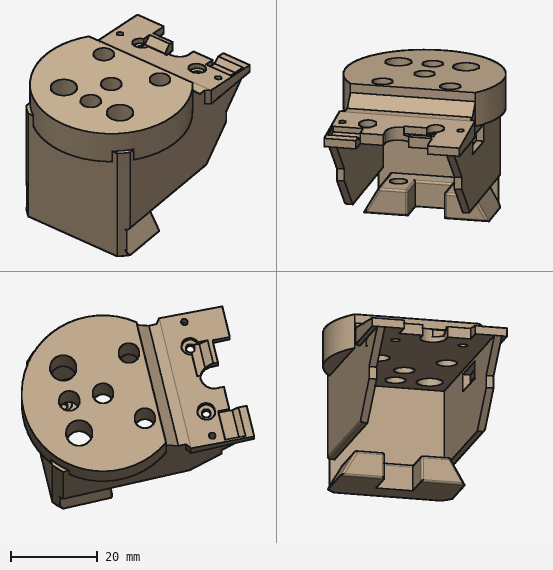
import cadquery as cq
import math


head_radius = 18.7
head_height = 8.1
head_hole_radius = 2.4
access_hole_radius = 3.05
hole_offset_x = 8.0
front_hole_y = -7.95
screw_y = -7.5

body_half_width = 14.8
body_bottom_z = -27.5
body_fillet = 0.6
shoulder_z = -5.05
wall = 1.75
front_wall = 1.45
front_y = -14.95
corner_radius = 19.6
head_flat_y = math.sqrt(head_radius**2 - body_half_width**2)
ramp_foot_y = 14.35
ramp_top_z = shoulder_z + ramp_foot_y - head_flat_y
back_lower_y = 16.45
back_step_y = 24.55
back_step_top_z = -16.5
back_step_bottom_z = body_bottom_z + back_step_y - back_lower_y

window_front_y = 3.5
window_rear_y = 14.05
window_bottom_z = -14.1
window_top_z = -10.0

plate_half_width = 16.0
plate_rear_y = 32.0
plate_front_y = 17.0
plate_neck_y = 16.1
plate_bottom_z = -9.0
plate_rear_top_z = -7.05
plate_slope = math.atan2(shoulder_z - plate_rear_top_z, plate_rear_y - plate_front_y)
notch_half_width = 8.45
notch_y = 27.9
throat_radius = 3.0
throat_centre_y = 26.05

outer_pocket_end_x = 15.5
outer_pocket_rear_y = 30.0
outer_pocket_front_y = 25.25
outer_pocket_depth = 1.3
inner_pocket_start_x = -8.65
inner_pocket_end_x = -0.65
inner_pocket_rear_y = 26.75
inner_pocket_front_y = 22.45
inner_pocket_depth = 1.75

plate_hole_y = 22.5
screw_radius = 1.0
screw_head_radius = 2.05
plate_head_seat_z = -7.35
pin_x = 14.0
pin_radius = 0.75
pin_depth = 4.95

bottom_z = -35.0
neck_half_width = 14.3
foot_top_z = -28.75
foot_rear_y = -1.15
foot_angle = 30.0
foot_slot_half_width = 4.35
foot_slot_y = -8.9
foot_fillet = 0.5
foot_head_seat_depth = 2.05
foot_screw_depth = 4.05

cut_margin = 2.55


def block(x0, x1, y0, y1, z0, z1):
    """Box between two opposite corners."""
    return cq.Workplane("XY").box(x1 - x0, y1 - y0, z1 - z0, centered=False).translate((x0, y0, z0))


def rod(x, y, radius, z0, z1):
    """Vertical cylinder from z0 up to z1."""
    return cq.Workplane("XY").workplane(offset=z0).center(x, y).circle(radius).extrude(z1 - z0)


def side_prism(points, x0, x1):
    """Closed outline of (y, z) points, extruded along X."""
    return cq.Workplane("YZ").workplane(offset=x0).polyline(points).close().extrude(x1 - x0)


def plate_top_z(y):
    """Height of the sloping plate top."""
    return plate_rear_top_z + (plate_rear_y - y) * math.tan(plate_slope)


def on_slope(y, along, depth):
    """Point (y, z) measured from the plate top at y: forward along the slope, then down square to it."""
    cos_slope = math.cos(plate_slope)
    sin_slope = math.sin(plate_slope)
    return (
        y - along * cos_slope - depth * sin_slope,
        plate_top_z(y) + along * sin_slope - depth * cos_slope,
    )


def make_head():
    head = rod(0, 0, head_radius, -head_height, 0)
    rear_cut = block(
        -head_radius, head_radius, head_flat_y, head_radius + cut_margin, -head_height, 0
    )
    return head.cut(rear_cut)


def make_body():
    outline = [
        (front_y, body_bottom_z),
        (front_y, shoulder_z),
        (head_flat_y, shoulder_z),
        (head_flat_y, ramp_top_z),
        (ramp_foot_y, shoulder_z),
        (plate_front_y, shoulder_z),
        (plate_rear_y, plate_rear_top_z),
        (plate_rear_y, plate_bottom_z),
        (back_step_y, back_step_top_z),
        (back_step_y, back_step_bottom_z),
        (back_lower_y, body_bottom_z),
    ]
    body = side_prism(outline, -body_half_width, body_half_width)
    return body.edges("<Z and |Y").fillet(body_fillet)


def make_cavity():
    """Space between the side walls, open below and at the rear."""
    inner = body_half_width - wall
    return block(
        -inner, inner, front_y + front_wall, plate_rear_y + cut_margin,
        body_bottom_z - cut_margin, plate_bottom_z,
    )


def make_window():
    return block(
        -body_half_width - cut_margin, cut_margin - body_half_width,
        window_front_y, window_rear_y, window_bottom_z, window_top_z,
    )


def make_plate():
    plan = [
        (-body_half_width, plate_neck_y),
        (-plate_half_width, plate_front_y),
        (-plate_half_width, plate_rear_y),
        (plate_half_width, plate_rear_y),
        (plate_half_width, plate_front_y),
        (body_half_width, plate_neck_y),
    ]
    slab = cq.Workplane("XY").workplane(offset=plate_bottom_z).polyline(plan).close()
    slab = slab.extrude(shoulder_z - plate_bottom_z)
    above_slope = [
        (plate_front_y, shoulder_z),
        (plate_rear_y, plate_rear_top_z),
        (plate_rear_y, shoulder_z),
    ]
    return slab.cut(side_prism(above_slope, -plate_half_width, plate_half_width))


def make_notch():
    """Stepped opening in the rear edge, ending in a round throat."""
    z0 = plate_bottom_z - cut_margin
    rear = plate_rear_y + cut_margin
    notch = block(-notch_half_width, notch_half_width, notch_y, rear, z0, 0)
    throat = block(-throat_radius, throat_radius, throat_centre_y, rear, z0, 0)
    return notch.union(throat).union(rod(0, throat_centre_y, throat_radius, z0, 0))


def make_pocket(x0, x1, rear_y, front_edge_y, depth):
    """Pocket with a floor parallel to the plate top and a 45 degree rear wall."""
    floor_rear = on_slope(rear_y, depth, depth)
    floor_front_z = floor_rear[1] + (floor_rear[0] - front_edge_y) * math.tan(plate_slope)
    outline = [
        (rear_y, plate_top_z(rear_y)),
        floor_rear,
        (front_edge_y, floor_front_z),
        (front_edge_y, 0),
        (rear_y, 0),
    ]
    return side_prism(outline, x0, x1)


def make_pin_hole(x):
    """Blind hole square to the sloping plate top."""
    tip_y, tip_z = on_slope(plate_hole_y, 0, pin_depth)
    start = cq.Vector(x, tip_y, tip_z)
    direction = cq.Vector(0, math.sin(plate_slope), math.cos(plate_slope))
    drill = cq.Solid.makeCylinder(pin_radius, pin_depth + cut_margin, start, direction)
    return cq.Workplane(drill)


def make_front_wall():
    """Part of the front wall that reaches below the body, overlapping it a little."""
    return block(
        -neck_half_width, neck_half_width, front_y, front_y + front_wall,
        bottom_z, body_bottom_z + front_wall,
    )


def make_foot():
    """Slotted dovetail foot, wide side down."""
    taper = math.tan(math.radians(foot_angle))
    top_half_width = body_half_width - (foot_top_z - bottom_z) * taper
    section = [
        (-body_half_width, bottom_z),
        (body_half_width, bottom_z),
        (top_half_width, foot_top_z),
        (-top_half_width, foot_top_z),
    ]
    foot = cq.Workplane("XZ", origin=(0, front_y, 0)).polyline(section).close()
    foot = foot.extrude(front_y - foot_rear_y)
    slot = block(
        -foot_slot_half_width, foot_slot_half_width, foot_slot_y, foot_rear_y + cut_margin,
        bottom_z, foot_top_z,
    )
    foot = foot.cut(slot)
    foot = foot.faces(">Y or >Z").edges().fillet(foot_fillet)
    for x in (-hole_offset_x, hole_offset_x):
        foot = foot.cut(rod(x, screw_y, screw_head_radius, foot_top_z - foot_head_seat_depth, foot_top_z))
        foot = foot.cut(rod(x, screw_y, screw_radius, foot_top_z - foot_screw_depth, foot_top_z))
    return foot


corner_limit = rod(0, 0, corner_radius, bottom_z, 0).union(
    block(-corner_radius, corner_radius, 0, plate_rear_y, bottom_z, 0)
)
shell = make_body().cut(make_cavity()).cut(make_window())
shell = shell.union(make_front_wall()).union(make_foot()).intersect(corner_limit)

result = shell.union(make_plate()).union(make_head())

result = result.cut(make_notch())
result = result.cut(
    make_pocket(
        notch_half_width, outer_pocket_end_x,
        outer_pocket_rear_y, outer_pocket_front_y, outer_pocket_depth,
    )
)
result = result.cut(
    make_pocket(
        inner_pocket_start_x, inner_pocket_end_x,
        inner_pocket_rear_y, inner_pocket_front_y, inner_pocket_depth,
    )
)

for side in (-1, 1):
    hole_x = side * hole_offset_x
    result = result.cut(rod(hole_x, hole_offset_x, head_hole_radius, plate_bottom_z, 0))
    result = result.cut(rod(hole_x, screw_y, access_hole_radius, plate_bottom_z, 0))
    result = result.cut(rod(hole_x, plate_hole_y, screw_head_radius, plate_head_seat_z, 0))
    result = result.cut(rod(hole_x, plate_hole_y, screw_radius, plate_bottom_z, 0))
    result = result.cut(make_pin_hole(side * pin_x))

for hole_y in (0, front_hole_y):
    result = result.cut(rod(0, hole_y, head_hole_radius, plate_bottom_z, 0))